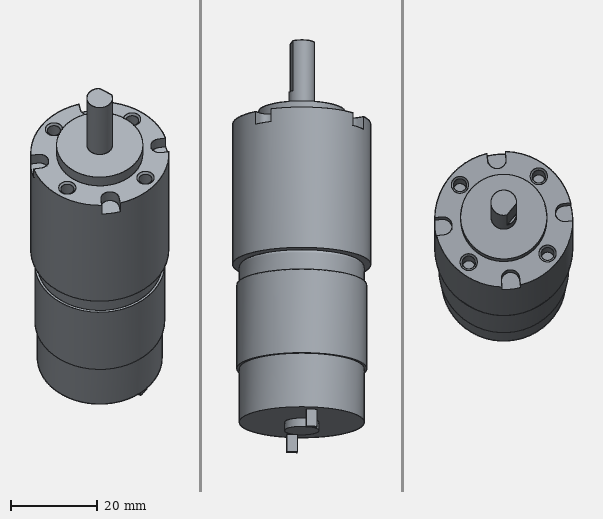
import cadquery as cq

total_height = 94.7
terminal_length = 4.1
rear_hub_length = 2.0
motor_height = 12.8
sleeve_height = 20.0
neck_height = 4.9
neck_round_radius = 0.85
pilot_height = 3.0
shaft_length = 16.4

rear_hub_diameter = 8.0
motor_diameter = 29.0
sleeve_diameter = 30.1
gearbox_diameter = 32.0
pilot_diameter = 20.0
shaft_diameter = 6.0

flat_length = 11.9
flat_depth = 0.6

hole_count = 4
hole_circle_radius = 13.0
hole_diameter = 3.0
hole_depth = 6.0
countersink_diameter = 4.0

notch_width = 4.3
notch_depth = 3.0
notch_inner_radius = 12.0

terminal_thickness = 0.9
terminal_width = 2.5
terminal_offset = 12.0

motor_bottom = terminal_length
sleeve_bottom = motor_bottom + motor_height
neck_bottom = sleeve_bottom + sleeve_height
gearbox_bottom = neck_bottom + neck_height
shaft_bottom = total_height - shaft_length
gearbox_top = shaft_bottom - pilot_height
round_bottom = gearbox_bottom - neck_round_radius


def make_body():
    """Revolve the stepped motor, gearbox, pilot and shaft about Z."""
    hub_bottom = motor_bottom - rear_hub_length
    return (
        cq.Workplane("XZ")
        .moveTo(0, hub_bottom)
        .lineTo(rear_hub_diameter / 2, hub_bottom)
        .lineTo(rear_hub_diameter / 2, motor_bottom)
        .lineTo(motor_diameter / 2, motor_bottom)
        .lineTo(motor_diameter / 2, sleeve_bottom)
        .lineTo(sleeve_diameter / 2, sleeve_bottom)
        .lineTo(sleeve_diameter / 2, neck_bottom)
        .lineTo(motor_diameter / 2, neck_bottom)
        .lineTo(motor_diameter / 2, round_bottom)
        .radiusArc((motor_diameter / 2 - neck_round_radius, gearbox_bottom), -neck_round_radius)
        .lineTo(gearbox_diameter / 2, gearbox_bottom)
        .lineTo(gearbox_diameter / 2, gearbox_top)
        .lineTo(pilot_diameter / 2, gearbox_top)
        .lineTo(pilot_diameter / 2, shaft_bottom)
        .lineTo(shaft_diameter / 2, shaft_bottom)
        .lineTo(shaft_diameter / 2, total_height)
        .lineTo(0, total_height)
        .close()
        .revolve(360, (0, 0, 0), (0, 1, 0))
    )


def make_shaft_flat():
    """Block that removes the upper +Y side of the shaft."""
    flat_center = (shaft_diameter - flat_depth) / 2
    return (
        cq.Workplane("XY", origin=(0, flat_center, total_height - flat_length))
        .rect(shaft_diameter, flat_depth)
        .extrude(flat_length)
    )


def make_notch():
    """Notch cutter running outward along +X from its round inner end."""
    half_width = notch_width / 2
    arc_center = notch_inner_radius + half_width
    outer_end = gearbox_diameter / 2 + half_width
    return (
        cq.Workplane("XY", origin=(0, 0, gearbox_top - notch_depth))
        .moveTo(outer_end, -half_width)
        .lineTo(outer_end, half_width)
        .lineTo(arc_center, half_width)
        .threePointArc((notch_inner_radius, 0), (arc_center, -half_width))
        .close()
        .extrude(notch_depth)
    )


def make_terminals():
    """Two flat terminals, starting flush with the motor's lower face."""
    return (
        cq.Workplane("XY")
        .pushPoints([(-terminal_offset, 0), (terminal_offset, 0)])
        .rect(terminal_thickness, terminal_width)
        .extrude(terminal_length)
    )


result = make_body().cut(make_shaft_flat())

result = (
    result.copyWorkplane(cq.Workplane("XY", origin=(0, 0, gearbox_top)))
    .polarArray(hole_circle_radius, 0, 360, hole_count)
    .cskHole(hole_diameter, countersink_diameter, 90, hole_depth)
)

hole_spacing = 360 / hole_count
for index in range(hole_count):
    notch_angle = (index + 0.5) * hole_spacing
    result = result.cut(make_notch().rotate((0, 0, 0), (0, 0, 1), notch_angle))

result = result.union(make_terminals())